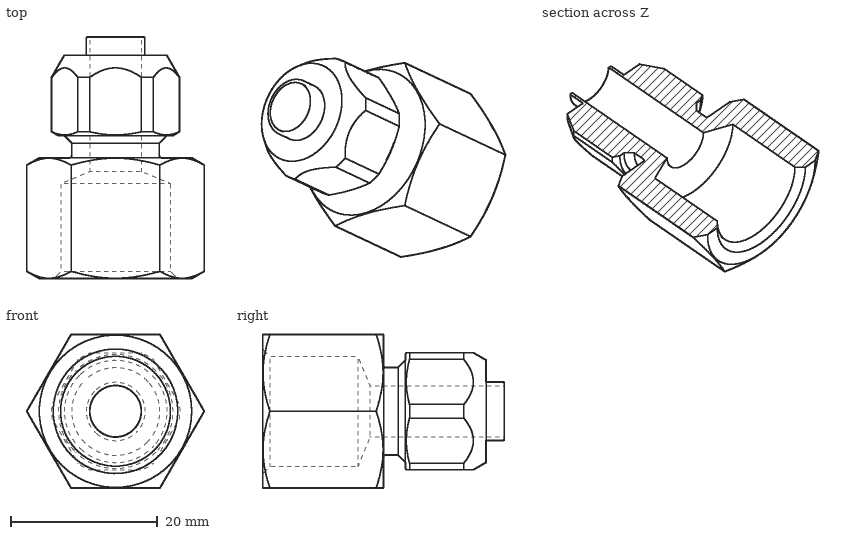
import cadquery as cq
import math

HEX_SIDES = 6


socket_flats = 21.0
socket_length = 16.5
socket_face_diameter = 20.8

neck_diameter = 12.0
neck_length = 2.0
neck_fillet = 0.3
neck_cone_length = 1.0

nut_flats = 16.0
nut_length = 11.0
nut_corner_diameter = 17.5
nut_front_diameter = 15.6
nut_rear_diameter = 14.0

tube_diameter = 8.0
tube_length = 2.5
tube_edge_fillet = 0.2

through_diameter = 7.0
bore_diameter = 15.0
bore_depth = 13.0
bore_cone_angle = 135.0
bore_chamfer = 1.0

turning_angle = 30.0
corner_slope = math.tan(math.radians(turning_angle))

neck_start = socket_length
nut_start = neck_start + neck_length + neck_cone_length
nut_end = nut_start + nut_length
tube_end = nut_end + tube_length


def revolve_profile(points):
    """Solid of revolution about Y from (radius, y) points."""
    profile = cq.Workplane("XY").polyline(points).close()
    return profile.revolve(360, (0, 0, 0), (0, 1, 0))


def across_corners(flats):
    """Corner-to-corner width of a hexagon from its width across flats."""
    return flats / math.cos(math.pi / HEX_SIDES)


def hexagon(flats, start, length):
    """Hexagonal prism along Y with corners at +X and -X."""
    plane = cq.Workplane("XZ", origin=(0, start, 0))
    return plane.polygon(HEX_SIDES, across_corners(flats)).extrude(-length)


def turned_hexagon(flats, start, length, corner_diameter, front, rear):
    """Hexagonal prism turned on both ends; front and rear are (face diameter, cone length)."""
    end = start + length
    front_diameter, front_cone = front
    rear_diameter, rear_cone = rear
    envelope = revolve_profile([
        (0, start),
        (front_diameter / 2, start),
        (corner_diameter / 2, start + front_cone),
        (corner_diameter / 2, end - rear_cone),
        (rear_diameter / 2, end),
        (0, end),
    ])
    return hexagon(flats, start, length).intersect(envelope)


def make_socket():
    """Large hexagon turned alike on both ends."""
    corner_diameter = across_corners(socket_flats)
    cone_length = (corner_diameter - socket_face_diameter) / 2 * corner_slope
    turned_end = (socket_face_diameter, cone_length)
    return turned_hexagon(
        socket_flats, 0, socket_length, corner_diameter, turned_end, turned_end
    )


def make_nut():
    """Small hexagon with rounded corners, a flat front cone and a steep rear cone."""
    front_cone = (nut_corner_diameter - nut_front_diameter) / 2 * corner_slope
    rear_cone = (nut_corner_diameter - nut_rear_diameter) / 2 / corner_slope
    return turned_hexagon(
        nut_flats,
        nut_start,
        nut_length,
        nut_corner_diameter,
        (nut_front_diameter, front_cone),
        (nut_rear_diameter, rear_cone),
    )


def make_neck():
    """Neck filleted into the socket and flaring at 45 degrees into the nut."""
    radius = neck_diameter / 2
    flare_start = nut_start - neck_cone_length
    fillet_middle = neck_fillet * (1 - math.sqrt(0.5))
    profile = (
        cq.Workplane("XY")
        .moveTo(0, neck_start)
        .lineTo(radius + neck_fillet, neck_start)
        .threePointArc(
            (radius + fillet_middle, neck_start + fillet_middle),
            (radius, neck_start + neck_fillet),
        )
        .lineTo(radius, flare_start)
        .lineTo(radius + neck_cone_length, nut_start)
        .lineTo(0, nut_start)
        .close()
    )
    return profile.revolve(360, (0, 0, 0), (0, 1, 0))


def make_tube():
    """Tube end with its outer rim rounded."""
    tube = cq.Workplane("XZ", origin=(0, nut_end, 0)).circle(tube_diameter / 2).extrude(-tube_length)
    return tube.faces(">Y").edges().fillet(tube_edge_fillet)


def make_bore():
    """Chamfered blind bore with a conical floor leading into the through hole."""
    bore_radius = bore_diameter / 2
    through_radius = through_diameter / 2
    cone_length = (bore_radius - through_radius) / math.tan(math.radians(bore_cone_angle / 2))
    return revolve_profile([
        (0, 0),
        (bore_radius + bore_chamfer, 0),
        (bore_radius, bore_chamfer),
        (bore_radius, bore_depth),
        (through_radius, bore_depth + cone_length),
        (through_radius, tube_end),
        (0, tube_end),
    ])


body = make_socket().union(make_neck()).union(make_nut()).union(make_tube())
result = body.cut(make_bore())